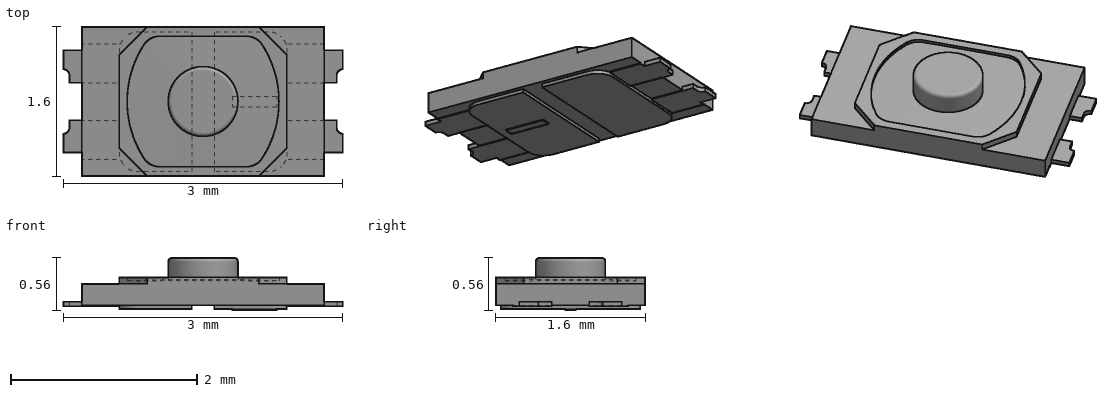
import cadquery as cq
import math

body_length = 2.6
body_width = 1.6
body_height = 0.23

cover_length = 1.8
cover_corner = 0.3
cover_top = 0.30

recess_half_length = 0.815
recess_half_width = 0.70
recess_end_radius = 1.12
recess_corner_radius = 0.2

floor_height_at_button = 0.28
floor_height_at_ends = 0.268

button_radius = 0.375
button_top = 0.51
button_rounding = 0.04

lead_span = 3.0
lead_inner_y = 0.20
lead_outer_y = 0.55
lead_bottom = -0.01
lead_top = 0.04
lead_notch_radius = 0.065
lead_notch_y = 0.28
lead_foot_outer_y = 0.62

pad_inner_x = 0.12
pad_outer_x = cover_length / 2
pad_width = 1.5
pad_corner_radius = 0.2
pad_bottom = -0.04

bar_start_x = 0.315
bar_end_x = 0.79
bar_width = 0.115
bar_bottom = -0.05


def box(x_range, y_range, z_range):
    """Box spanning the given (low, high) ranges."""
    lows, highs = zip(x_range, y_range, z_range)
    sizes = [high - low for low, high in zip(lows, highs)]
    return cq.Workplane("XY").box(*sizes, centered=False).translate(lows)


def make_housing():
    return cq.Workplane("XY").box(body_length, body_width, body_height, centered=(True, True, False))


def make_cover():
    cover = cq.Workplane("XY").box(cover_length, body_width, cover_top, centered=(True, True, False))
    return cover.edges("|Z").chamfer(cover_corner)


def make_floor_cone():
    """Cone whose flank is the recess floor, wide enough to reach past the whole recess."""
    slope = (floor_height_at_button - floor_height_at_ends) / (recess_half_length - button_radius)
    peak = floor_height_at_button + slope * button_radius
    rim_radius = cover_length / 2
    rim_height = peak - slope * rim_radius
    profile = [(0, 0), (rim_radius, 0), (rim_radius, rim_height), (0, peak)]
    return cq.Workplane("XZ").polyline(profile).close().revolve(360, (0, 0), (0, 1))


def make_recess():
    """Cutter for the recess, reaching from its conical floor to the cover's top."""
    end_arc_center_x = recess_half_length - recess_end_radius
    corner_x = end_arc_center_x + math.sqrt(recess_end_radius**2 - recess_half_width**2)
    outline = (
        cq.Workplane("XY", origin=(0, 0, body_height))
        .moveTo(-corner_x, -recess_half_width)
        .lineTo(corner_x, -recess_half_width)
        .threePointArc((recess_half_length, 0), (corner_x, recess_half_width))
        .lineTo(-corner_x, recess_half_width)
        .threePointArc((-recess_half_length, 0), (-corner_x, -recess_half_width))
        .close()
    )
    cutter = outline.extrude(cover_top - body_height).edges("|Z").fillet(recess_corner_radius)
    return cutter.cut(make_floor_cone())


def make_button():
    button = cq.Workplane("XY").circle(button_radius).extrude(button_top)
    return button.faces(">Z").edges().fillet(button_rounding)


def make_lead():
    """Lead at +X, +Y with a notched inner tip corner and a wider foot under the housing."""
    tip_x = lead_span / 2
    notch_x = tip_x - lead_notch_radius
    notch_end_y = lead_notch_y + lead_notch_radius
    arc_offset = lead_notch_radius * math.sqrt(0.5)
    blade = (
        cq.Workplane("XY", origin=(0, 0, lead_bottom))
        .moveTo(pad_outer_x, lead_inner_y)
        .lineTo(notch_x, lead_inner_y)
        .lineTo(notch_x, lead_notch_y)
        .threePointArc((tip_x - arc_offset, lead_notch_y + arc_offset), (tip_x, notch_end_y))
        .lineTo(tip_x, lead_outer_y)
        .lineTo(pad_outer_x, lead_outer_y)
        .close()
        .extrude(lead_top - lead_bottom)
    )
    foot = box((pad_outer_x, body_length / 2), (lead_inner_y, lead_foot_outer_y), (lead_bottom, 0))
    return blade.union(foot)


def make_pad():
    """Pad at +X with its two outer corners rounded."""
    pad = box((pad_inner_x, pad_outer_x), (-pad_width / 2, pad_width / 2), (pad_bottom, 0))
    return pad.edges("|Z and >X").fillet(pad_corner_radius)


def make_bar():
    return box((bar_start_x, bar_end_x), (-bar_width / 2, bar_width / 2), (bar_bottom, pad_bottom))


result = make_housing().union(make_cover()).cut(make_recess()).union(make_button())

right_leads = make_lead().union(make_lead().mirror("XZ"))
right_side = make_pad().union(right_leads)
result = result.union(right_side).union(right_side.mirror("YZ")).union(make_bar())